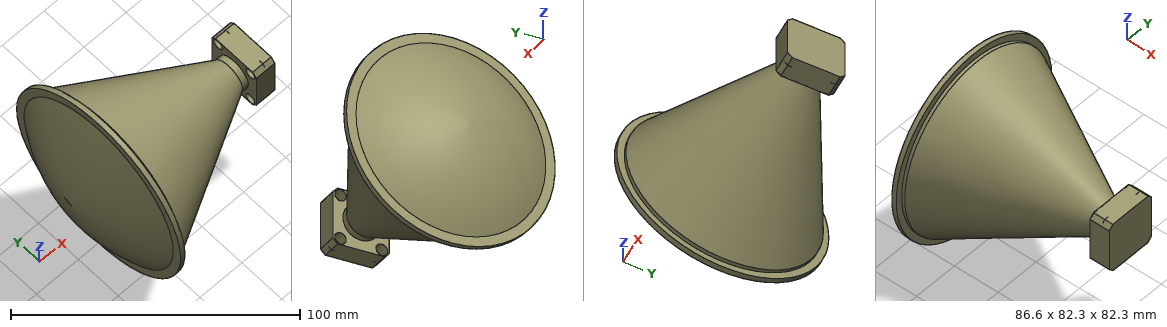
import cadquery as cq

total_length = 86.6
rim_start = 12.9
rim_end = 15.0
cone_start = 16.4
cone_end = 75.0
block_start = 77.7

lens_radius = 37.4
rim_radius = 41.15
cone_radius = 38.3
neck_radius = 7.2

lens_mid_x = 6.5
lens_mid_radius = 26.1

block_side = 22.35
block_chamfer = 1.9
hole_diameter = 4.5
hole_depth = 5.0
hole_spacing_y = 16.3
hole_spacing_z = 17.3


def make_horn():
    """Lens, rim, cone and neck turned about the X axis."""
    profile = (
        cq.Workplane("XY")
        .moveTo(0, 0)
        .threePointArc((lens_mid_x, lens_mid_radius), (rim_start, lens_radius))
        .lineTo(rim_start, rim_radius)
        .lineTo(rim_end, rim_radius)
        .lineTo(rim_end, cone_radius)
        .lineTo(cone_start, cone_radius)
        .lineTo(cone_end, neck_radius)
        .lineTo(block_start, neck_radius)
        .lineTo(block_start, 0)
        .close()
    )
    return profile.revolve(360, (0, 0, 0), (1, 0, 0))


def make_block():
    """Connector block with chamfered corners and four blind holes in its front."""
    front_plane = cq.Workplane("YZ", origin=(block_start, 0, 0))
    block = (
        front_plane.rect(block_side, block_side)
        .extrude(total_length - block_start)
        .edges("|X")
        .chamfer(block_chamfer)
    )
    holes = (
        front_plane.rect(hole_spacing_y, hole_spacing_z, forConstruction=True)
        .vertices()
        .circle(hole_diameter / 2)
        .extrude(hole_depth)
    )
    return block.cut(holes)


result = make_horn().union(make_block())